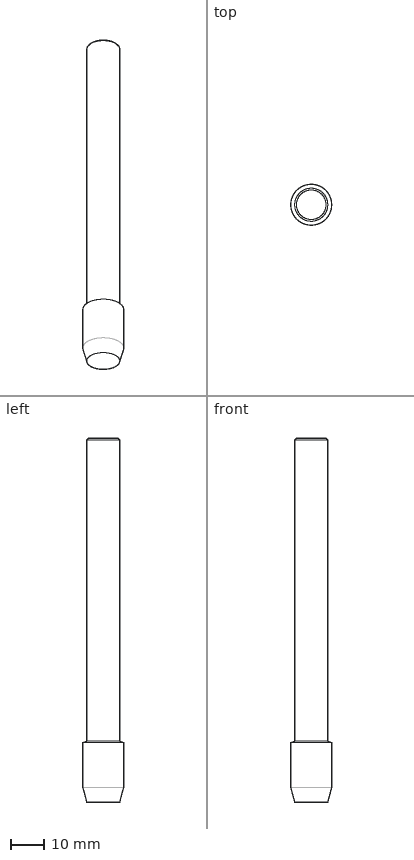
import cadquery as cq

total_length = 110.0

shank_diameter = 10.0
shank_chamfer = 0.5

head_diameter = 12.4
head_length = 18.5
shoulder_rise = 0.4
nose_length = 4.5
nose_diameter = shank_diameter


def make_head():
    """Cylindrical head with a tapered nose and a shallow conical shoulder up to the shank."""
    head_radius = head_diameter / 2
    profile = [
        (0, 0),
        (nose_diameter / 2, 0),
        (head_radius, nose_length),
        (head_radius, head_length - shoulder_rise),
        (shank_diameter / 2, head_length),
        (0, head_length),
    ]
    return cq.Workplane("XZ").polyline(profile).close().revolve(360, (0, 0, 0), (0, 1, 0))


def make_shank():
    """Plain round bar standing on the head, chamfered at its free end."""
    return (
        cq.Workplane("XY", origin=(0, 0, head_length))
        .circle(shank_diameter / 2)
        .extrude(total_length - head_length)
        .faces(">Z")
        .chamfer(shank_chamfer)
    )


head = make_head()
shank = make_shank()

result = cq.Compound.makeCompound([head.val(), shank.val()])